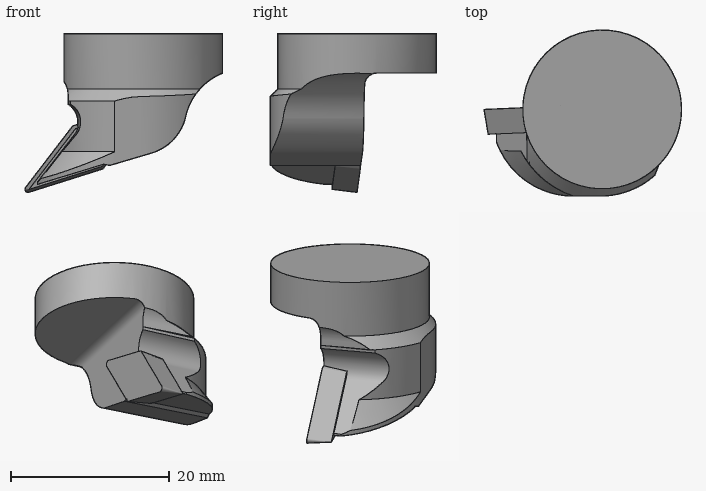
import cadquery as cq
import math

SHANK_RADIUS = 9.997
SHANK_HEIGHT = 6.97
COLLAR_RADIUS = 11.5
COLLAR_BOTTOM = -14.87
COLLAR_TOP = -SHANK_HEIGHT - (COLLAR_RADIUS - SHANK_RADIUS)
SKIRT_FLARE = 35.0
BODY_DEPTH = 21.16
CLEAR = 14.95

FLAT_Y = -10.93
OUTLINE_RADIUS = 10.3
LEFT_ARC_X = -3.6
RIGHT_ARC_X = -0.25

CAP_THICKNESS = 4.98
CHIP_FACE_ANGLE = 2.5
CHIP_FACE_FILLET = 1.4

TIP_X = -14.9
INSERT_SIDE = 9.64
INSERT_THICKNESS = 3.15
INSERT_RELIEF = 7.0
LOWER_EDGE_ANGLE = 17.5
TIP_ANGLE = 35.0
UPPER_EDGE_ANGLE = LOWER_EDGE_ANGLE + TIP_ANGLE
NOSE_RADIUS = 0.4
LOWEST_Z = -20.0

UNDERSIDE_STEP_TOP = (-4.98, -16.43)
UNDERSIDE_STEP_BOTTOM = (-4.23, -16.6)
RELIEF_START = (1.25, -15.0)
RELIEF_LOWER_MID = (3.98, -13.15)
RELIEF_INFLECTION = (5.3, -10.7)
RELIEF_UPPER_MID = (6.67, -7.55)
NECK_X = -9.45
NECK_TOP = (-SHANK_RADIUS, -6.03)
NECK_ARC_RADIUS = 2.8
NOTCH_RADIUS = 2.65
NOTCH_CENTER = (-10.88, -11.1)
NOTCH_START_ANGLE = 57.0
FLANK_ANGLE = 52.0
BODY_TIP = (-13.32, -18.97)


def polar(center, radius, degrees):
    angle = math.radians(degrees)
    return center[0] + radius * math.cos(angle), center[1] + radius * math.sin(angle)


def make_turned_blank():
    skirt_radius = COLLAR_RADIUS + (COLLAR_BOTTOM + BODY_DEPTH) * math.tan(math.radians(SKIRT_FLARE))
    collar = (
        cq.Workplane("XZ")
        .moveTo(0, -SHANK_HEIGHT)
        .lineTo(SHANK_RADIUS, -SHANK_HEIGHT)
        .lineTo(COLLAR_RADIUS, COLLAR_TOP)
        .lineTo(COLLAR_RADIUS, COLLAR_BOTTOM)
        .lineTo(skirt_radius, -BODY_DEPTH)
        .lineTo(0, -BODY_DEPTH)
        .close()
        .revolve(360, (0, 0, 0), (0, 1, 0))
    )
    left_center = (LEFT_ARC_X, FLAT_Y + OUTLINE_RADIUS)
    right_center = (RIGHT_ARC_X, FLAT_Y + OUTLINE_RADIUS)
    left_end = polar(left_center, OUTLINE_RADIUS, 180)
    right_end = polar(right_center, OUTLINE_RADIUS, 0)
    plan = (
        cq.Workplane("XY")
        .moveTo(left_end[0], CLEAR)
        .lineTo(*left_end)
        .threePointArc(polar(left_center, OUTLINE_RADIUS, 225), (LEFT_ARC_X, FLAT_Y))
        .lineTo(RIGHT_ARC_X, FLAT_Y)
        .threePointArc(polar(right_center, OUTLINE_RADIUS, -45), right_end)
        .lineTo(right_end[0], CLEAR)
        .close()
        .extrude(-BODY_DEPTH)
    )
    shank = cq.Workplane("XY").circle(SHANK_RADIUS).extrude(-SHANK_HEIGHT)
    return shank.union(collar.intersect(plan))


def make_side_profile():
    """Side outline of the body, as a prism running right through along Y."""
    neck_arc_center_x = NECK_X - NECK_ARC_RADIUS
    neck_rise = math.sqrt(NECK_ARC_RADIUS**2 - (NECK_TOP[0] - neck_arc_center_x) ** 2)
    neck_arc_end = (NECK_X, NECK_TOP[1] - neck_rise)
    neck_arc_turn = math.degrees(math.asin(neck_rise / NECK_ARC_RADIUS))
    neck_arc_mid = polar((neck_arc_center_x, neck_arc_end[1]), NECK_ARC_RADIUS, neck_arc_turn / 2)
    return (
        cq.Workplane("XZ")
        .moveTo(-CLEAR, 0)
        .lineTo(-CLEAR, NECK_TOP[1])
        .lineTo(*NECK_TOP)
        .threePointArc(neck_arc_mid, neck_arc_end)
        .lineTo(NECK_X, COLLAR_TOP)
        .lineTo(BODY_TIP[0], COLLAR_TOP)
        .lineTo(*BODY_TIP)
        .lineTo(*UNDERSIDE_STEP_TOP)
        .lineTo(*UNDERSIDE_STEP_BOTTOM)
        .lineTo(*RELIEF_START)
        .threePointArc(RELIEF_LOWER_MID, RELIEF_INFLECTION)
        .threePointArc(RELIEF_UPPER_MID, (SHANK_RADIUS, -CAP_THICKNESS))
        .lineTo(CLEAR, -CAP_THICKNESS)
        .lineTo(CLEAR, 0)
        .close()
        .extrude(CLEAR, both=True)
    )


def turn_to_chip_face(shape):
    """Turn a shape built square to Y, with the insert tip at X = 0, onto the chip face."""
    return shape.rotate((0, 0, 0), (0, 0, 1), CHIP_FACE_ANGLE).translate((TIP_X, 0, 0))


def make_flank_space():
    """Space beside the notch and flank, running square to the chip face."""
    center = (NOTCH_CENTER[0] - TIP_X, NOTCH_CENTER[1])
    flank_top = polar(center, NOTCH_RADIUS, FLANK_ANGLE - 90)
    flank_drop = flank_top[1] + BODY_DEPTH
    flank_bottom_x = flank_top[0] - flank_drop / math.tan(math.radians(FLANK_ANGLE))
    space = (
        cq.Workplane("XZ")
        .moveTo(-CLEAR, COLLAR_TOP)
        .lineTo(NECK_X - TIP_X, COLLAR_TOP)
        .lineTo(*polar(center, NOTCH_RADIUS, NOTCH_START_ANGLE))
        .threePointArc(polar(center, NOTCH_RADIUS, 0), flank_top)
        .lineTo(flank_bottom_x, -BODY_DEPTH)
        .lineTo(-CLEAR, -BODY_DEPTH)
        .close()
        .extrude(CLEAR, both=True)
    )
    return turn_to_chip_face(space)


def make_chip_space():
    """Space in front of the chip face, filleted where it meets the cap."""
    space = (
        cq.Workplane("XY")
        .box(4 * CLEAR, CLEAR, BODY_DEPTH, centered=(True, False, False))
        .translate((0, 0, -CAP_THICKNESS - BODY_DEPTH))
        .edges("<Y and >Z")
        .fillet(CHIP_FACE_FILLET)
    )
    return turn_to_chip_face(space)


def insert_corner_centers():
    """Centres of the rounded rhombus corners, in the plane of the chip face."""
    nose_x = NOSE_RADIUS
    nose_z = LOWEST_Z + NOSE_RADIUS
    lower = polar((nose_x, nose_z), INSERT_SIDE, LOWER_EDGE_ANGLE)
    upper = polar((nose_x, nose_z), INSERT_SIDE, UPPER_EDGE_ANGLE)
    far = polar(lower, INSERT_SIDE, UPPER_EDGE_ANGLE)
    return [(nose_x, nose_z), lower, far, upper]


def make_insert():
    relief = INSERT_THICKNESS * math.tan(math.radians(INSERT_RELIEF))
    corners = insert_corner_centers()

    def face_wire(depth, radius):
        rhombus = cq.Wire.makePolygon([cq.Vector(x, -depth, z) for x, z in corners], close=True)
        return rhombus.offset2D(radius, "arc")[0]

    front = face_wire(0, NOSE_RADIUS)
    back = face_wire(INSERT_THICKNESS, NOSE_RADIUS - relief)
    solid = cq.Solid.makeLoft([front, back], True)
    return turn_to_chip_face(cq.Workplane(solid))


insert = make_insert()
holder = (
    make_turned_blank()
    .intersect(make_side_profile())
    .cut(make_flank_space())
    .cut(make_chip_space())
    .cut(insert)
)

result = cq.Compound.makeCompound([holder.solids().val(), insert.val()])